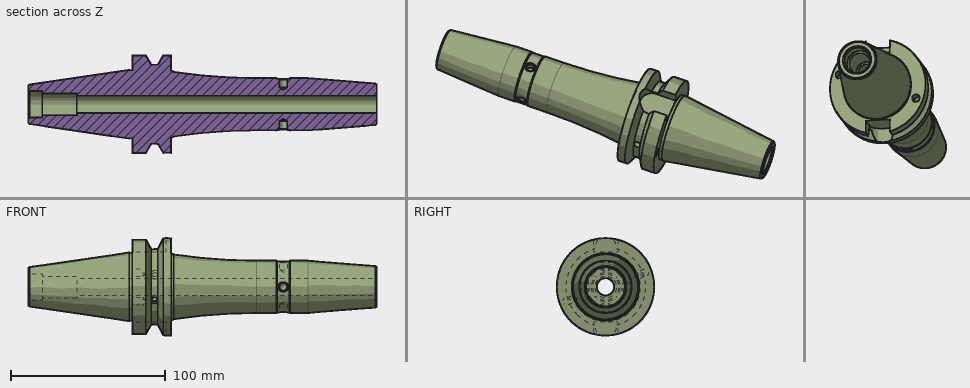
import cadquery as cq
import math

LENGTH = 225.5

TAPER_END_X = 65.4
TAPER_SMALL_R = 12.8
TAPER_LARGE_R = 22.3
TAPER_CHAMFER = 1.0
NECK_R = 22.0

FLANGE_R = 31.5
FLANGE_START_X = 67.5
FLANGE_END_X = 92.5
GROOVE_R = 25.7
GROOVE_FLOOR_START_X = 79.5
GROOVE_FLOOR_END_X = 83.8
GROOVE_FLANK_WIDTH = (FLANGE_R - GROOVE_R) * math.tan(math.radians(30))

SHANK_START_R = 21.0
COLLAR_WIDTH = 1.8
SHANK_MID_X = 115.0
SHANK_MID_R = 18.5
BODY_START_X = 147.5
BODY_END_X = 180.8
BODY_R = 34.0 / 2
BAND_START_X = 160.3
BAND_END_X = 169.5
BAND_R = 33.4 / 2
BAND_BEVEL = 0.7
NOSE_R = 13.5
NOSE_CHAMFER = 1.0

THROUGH_R = 11.0 / 2
PILOT_R = 14.0 / 2
PILOT_DEPTH = 31.5
ENTRY_R = 17.0 / 2
ENTRY_DEPTH = 9.0
BORE_CHAMFER = 1.0

SLOT_WIDTH = 16.0
SLOT_FLOOR_Z = 22.5
SLOT_END_X = 88.8

DRILL_TIP_ANGLE = 118

COOLANT_ANGLES = (20, 200)
COOLANT_PITCH_R = 26.8
COOLANT_FACE_D = 5.0
COOLANT_RADIAL_D = 4.3
COOLANT_RADIAL_X = (GROOVE_FLOOR_START_X + GROOVE_FLOOR_END_X) / 2
COOLANT_RADIAL_DEPTH = 4.5
COOLANT_FACE_DEPTH = 6.8

SCREW_ANGLES = (0, 90, 180, 270)
SCREW_X = (BAND_START_X + BAND_END_X) / 2
SCREW_D = 5.0
SCREW_DEPTH = 5.6
SCREW_SINK_D = 6.8
SCREW_SINK_DEPTH = (SCREW_SINK_D - SCREW_D) / 2


def revolve_about_x(outline):
    return outline.close().revolve(360, (0, 0, 0), (1, 0, 0))


def radial_direction(angle):
    """Unit vector away from the axis; angle is measured from +Y toward +Z."""
    return cq.Vector(0, math.cos(math.radians(angle)), math.sin(math.radians(angle)))


def drilled_hole(start, direction, diameter, depth):
    """Cylinder of the given depth followed by a conical drill tip."""
    radius = diameter / 2
    tip_height = radius / math.tan(math.radians(DRILL_TIP_ANGLE / 2))
    shaft = cq.Solid.makeCylinder(radius, depth, start, direction)
    tip = cq.Solid.makeCone(radius, 0, tip_height, start + direction * depth, direction)
    return cq.Workplane(shaft).union(cq.Workplane(tip))


def make_body():
    outline = (
        cq.Workplane("XY")
        .moveTo(0, 0)
        .lineTo(0, TAPER_SMALL_R - TAPER_CHAMFER)
        .lineTo(TAPER_CHAMFER, TAPER_SMALL_R)
        .lineTo(TAPER_END_X, TAPER_LARGE_R)
        .lineTo(TAPER_END_X, NECK_R)
        .lineTo(FLANGE_START_X, NECK_R)
        .lineTo(FLANGE_START_X, FLANGE_R)
        .lineTo(GROOVE_FLOOR_START_X - GROOVE_FLANK_WIDTH, FLANGE_R)
        .lineTo(GROOVE_FLOOR_START_X, GROOVE_R)
        .lineTo(GROOVE_FLOOR_END_X, GROOVE_R)
        .lineTo(GROOVE_FLOOR_END_X + GROOVE_FLANK_WIDTH, FLANGE_R)
        .lineTo(FLANGE_END_X, FLANGE_R)
        .lineTo(FLANGE_END_X, SHANK_START_R + COLLAR_WIDTH / 2)
        .lineTo(FLANGE_END_X + COLLAR_WIDTH, SHANK_START_R)
        .threePointArc((SHANK_MID_X, SHANK_MID_R), (BODY_START_X, BODY_R))
        .lineTo(BAND_START_X, BODY_R)
        .lineTo(BAND_START_X + BAND_BEVEL, BAND_R)
        .lineTo(BAND_END_X - BAND_BEVEL, BAND_R)
        .lineTo(BAND_END_X, BODY_R)
        .lineTo(BODY_END_X, BODY_R)
        .lineTo(LENGTH - NOSE_CHAMFER, NOSE_R)
        .lineTo(LENGTH, NOSE_R - NOSE_CHAMFER)
        .lineTo(LENGTH, 0)
    )
    return revolve_about_x(outline)


def make_bore():
    outline = (
        cq.Workplane("XY")
        .moveTo(0, 0)
        .lineTo(0, ENTRY_R + BORE_CHAMFER)
        .lineTo(BORE_CHAMFER, ENTRY_R)
        .lineTo(ENTRY_DEPTH, ENTRY_R)
        .lineTo(ENTRY_DEPTH, PILOT_R)
        .lineTo(PILOT_DEPTH, PILOT_R)
        .lineTo(PILOT_DEPTH, THROUGH_R)
        .lineTo(LENGTH, THROUGH_R)
        .lineTo(LENGTH, 0)
    )
    return revolve_about_x(outline)


def make_drive_slot():
    """Upper slot, open toward the taper and closed by a half round end."""
    half_width = SLOT_WIDTH / 2
    arc_start_x = SLOT_END_X - half_width
    return (
        cq.Workplane("XY", origin=(0, 0, SLOT_FLOOR_Z))
        .moveTo(TAPER_END_X, -half_width)
        .lineTo(arc_start_x, -half_width)
        .threePointArc((SLOT_END_X, 0), (arc_start_x, half_width))
        .lineTo(TAPER_END_X, half_width)
        .close()
        .extrude(FLANGE_R - SLOT_FLOOR_Z)
    )


def make_coolant_passage(angle):
    outward = radial_direction(angle)
    face_start = cq.Vector(FLANGE_START_X, 0, 0) + outward * COOLANT_PITCH_R
    face_hole = drilled_hole(face_start, cq.Vector(1, 0, 0), COOLANT_FACE_D, COOLANT_FACE_DEPTH)
    groove_start = cq.Vector(COOLANT_RADIAL_X, 0, 0) + outward * GROOVE_R
    groove_hole = drilled_hole(groove_start, outward * -1, COOLANT_RADIAL_D, COOLANT_RADIAL_DEPTH)
    return face_hole.union(groove_hole)


def make_screw_hole(angle):
    outward = radial_direction(angle)
    start = cq.Vector(SCREW_X, 0, 0) + outward * BAND_R
    hole = drilled_hole(start, outward * -1, SCREW_D, SCREW_DEPTH)
    sink = cq.Solid.makeCone(SCREW_SINK_D / 2, SCREW_D / 2, SCREW_SINK_DEPTH, start, outward * -1)
    return hole.union(cq.Workplane(sink))


result = make_body().cut(make_bore())

upper_slot = make_drive_slot()
result = result.cut(upper_slot).cut(upper_slot.mirror("XY"))

for passage_angle in COOLANT_ANGLES:
    result = result.cut(make_coolant_passage(passage_angle))

for screw_angle in SCREW_ANGLES:
    result = result.cut(make_screw_hole(screw_angle))